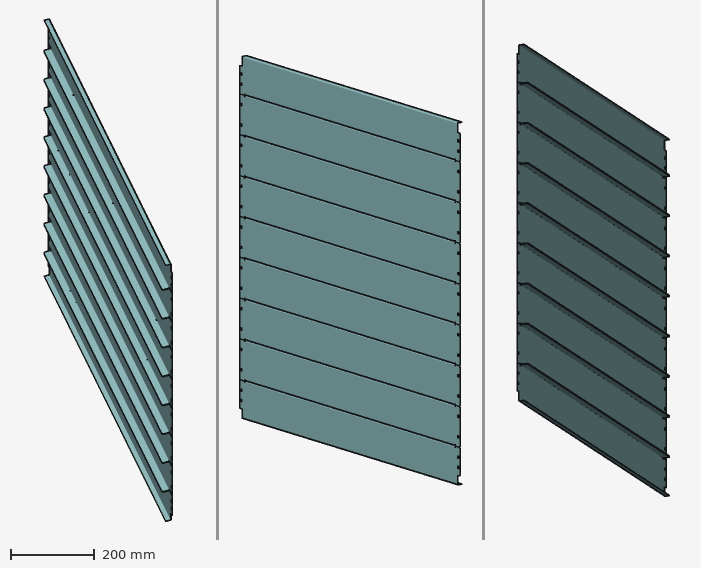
import cadquery as cq
import math

panel_count = 9
overall_width = 877.0
overall_height = 890.0
end_panel_height = 94.0

sheet_thickness = 1.5
bend_radius = 2.0
seam_flange_depth = 20.0
seam_flange_inset = 20.0
rim_flange_depth = 14.0
rim_flange_inset = 10.0
seam_flange_chamfer = 3.0

corner_step_height = 24.0
side_corner_radius = 3.0

hole_size = 5.0
hole_edge_distance = 6.0

half_width = overall_width / 2
inner_panel_count = panel_count - 2
panel_pitch = (overall_height - 2 * end_panel_height) / inner_panel_count
hole_seam_distance = panel_pitch / 4
end_hole_distance = panel_pitch / 2
outer_bend_radius = bend_radius + sheet_thickness


def sheet(half_length, z_low, z_high):
    """Flat sheet with its back face on Y = 0."""
    return (
        cq.Workplane("XY")
        .box(2 * half_length, sheet_thickness, z_high - z_low, centered=(True, False, False))
        .translate((0, -sheet_thickness, z_low))
    )


def fold_lower_edge(panel, half_length, depth, z_edge, chamfer=0):
    """Replace the lower edge of a panel by a bend and a flange that points toward -Y."""
    diagonal = math.sqrt(0.5)
    y_centre = -outer_bend_radius
    z_centre = z_edge + outer_bend_radius
    outer_middle = (y_centre + outer_bend_radius * diagonal, z_centre - outer_bend_radius * diagonal)
    inner_middle = (y_centre + bend_radius * diagonal, z_centre - bend_radius * diagonal)
    flange = (
        cq.Workplane("YZ")
        .moveTo(0, z_centre)
        .threePointArc(outer_middle, (y_centre, z_edge))
        .lineTo(-depth, z_edge)
        .lineTo(-depth, z_edge + sheet_thickness)
        .lineTo(y_centre, z_edge + sheet_thickness)
        .threePointArc(inner_middle, (-sheet_thickness, z_centre))
        .close()
        .extrude(half_length, both=True)
    )
    if chamfer:
        flange = flange.faces("<Y").edges("|Z").chamfer(chamfer)
    return panel.cut(sheet(half_length, z_edge, z_centre)).union(flange)


def fold_seam_edge(panel, z_edge):
    """Fold the lower edge into a flange that lies against the next panel."""
    half_length = half_width - seam_flange_inset
    return fold_lower_edge(panel, half_length, seam_flange_depth, z_edge, seam_flange_chamfer)


def drill(panel, heights):
    """Cut a square hole near both sides at each height."""
    x_hole = half_width - hole_edge_distance
    points = [(x, z) for x in (-x_hole, x_hole) for z in heights]
    holes = cq.Workplane("XZ").pushPoints(points).rect(hole_size, hole_size).extrude(sheet_thickness)
    return panel.cut(holes)


def inner_panel(z_low):
    """Panel with a seam flange along both long edges."""
    half_height = panel_pitch / 2
    panel = sheet(half_width, -half_height, half_height).edges("|Y").fillet(side_corner_radius)
    for _ in range(2):
        panel = fold_seam_edge(panel, -half_height)
        panel = panel.mirror("XY")
    hole_offset = half_height - hole_seam_distance
    panel = drill(panel, (-hole_offset, hole_offset))
    return panel.translate((0, 0, z_low + half_height))


def bottom_panel():
    """End panel with a shallow rim flange below and a seam flange above."""
    z_low = -overall_height / 2
    z_seam = z_low + end_panel_height
    rim_half_length = half_width - rim_flange_inset
    sides = sheet(half_width, z_low + corner_step_height, z_seam)
    sides = sides.edges("|Y").fillet(side_corner_radius)
    panel = sides.union(sheet(rim_half_length, z_low, z_seam))
    panel = fold_lower_edge(panel, rim_half_length, rim_flange_depth, z_low)
    panel = fold_seam_edge(panel.mirror("XY"), -z_seam).mirror("XY")
    return drill(panel, (z_seam - hole_seam_distance, z_seam - end_hole_distance))


first_seam = -inner_panel_count * panel_pitch / 2
bottom = bottom_panel()
top = bottom.mirror("XY")
inner_panels = [inner_panel(first_seam + i * panel_pitch) for i in range(inner_panel_count)]

result = cq.Compound.makeCompound([bottom.val(), top.val(), *[p.val() for p in inner_panels]])